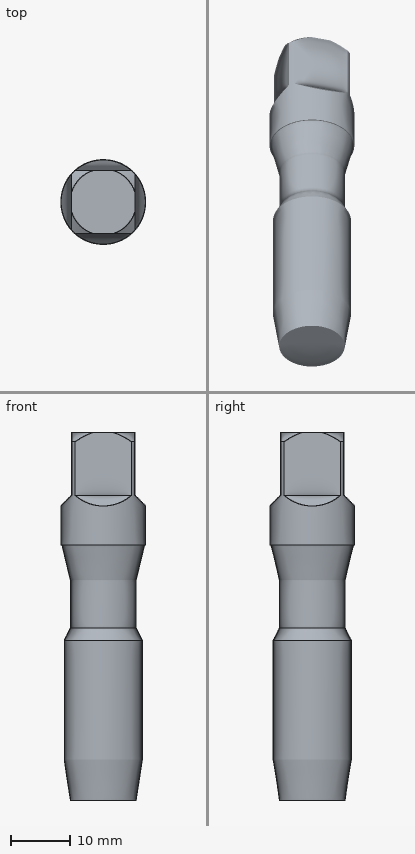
import cadquery as cq

total_height = 62.0
head_radius = 7.1
flare_radius = 6.95
neck_radius = 5.5
plug_radius = 6.6
plug_tip_radius = neck_radius

plug_taper_top = 6.9
plug_top = 27.0
neck_bottom = 29.1
neck_top = 37.1
head_bottom = 43.0

square_width = 10.65
square_bottom = 51.4
top_face_radius = 5.6

bevel_height = head_radius - top_face_radius
shoulder_drop = head_radius - square_width / 2


def revolve_profile(points):
    """Revolve a closed (radius, height) outline around the Z axis."""
    return cq.Workplane("XZ").polyline(points).close().revolve(360, (0, 0), (0, 1))


def make_flat_cutter():
    """Material outside one square flat, with a sloped floor at the shoulder."""
    flat = square_width / 2
    return (
        cq.Workplane("XZ")
        .polyline([
            (flat, square_bottom),
            (head_radius, square_bottom - shoulder_drop),
            (2 * head_radius, square_bottom - shoulder_drop),
            (2 * head_radius, total_height),
            (flat, total_height),
        ])
        .close()
        .extrude(head_radius, both=True)
    )


def make_plug():
    """Lower cylinder, tapered toward its bottom end."""
    return revolve_profile([
        (0, 0),
        (plug_tip_radius, 0),
        (plug_radius, plug_taper_top),
        (plug_radius, plug_top),
        (0, plug_top),
    ])


def make_shank():
    """Conical foot, neck, flare and slightly wider head with a square drive."""
    shank = revolve_profile([
        (0, plug_top),
        (plug_radius, plug_top),
        (neck_radius, neck_bottom),
        (neck_radius, neck_top),
        (flare_radius, head_bottom),
        (head_radius, head_bottom),
        (head_radius, total_height - bevel_height),
        (top_face_radius, total_height),
        (0, total_height),
    ])
    cutter = make_flat_cutter()
    for angle in (0, 90, 180, 270):
        shank = shank.cut(cutter.rotate((0, 0, 0), (0, 0, 1), angle))
    return shank


plug = make_plug()
shank = make_shank()
result = cq.Compound.makeCompound([plug.val(), shank.val()])